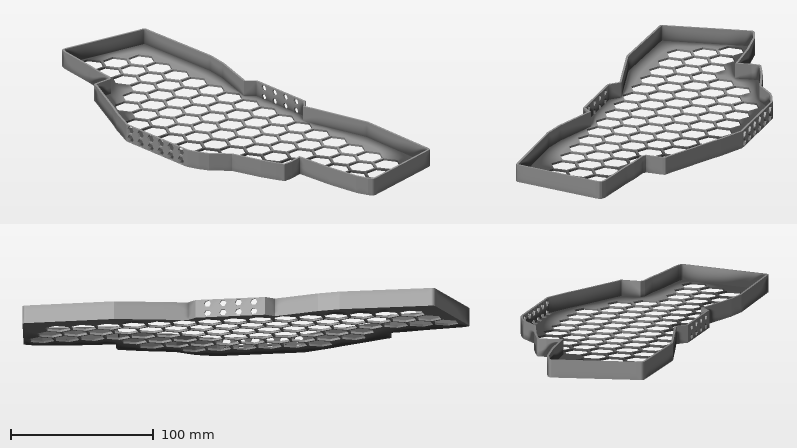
import cadquery as cq
import math

HEIGHT = 12.7
FLOOR = 1.5
WALL = 1.5

BACK_Y = 63.68
FRONT_Y = -BACK_Y
CENTRE_BACK_Y = 56.9

OUTLINE = [
    (-29.8, FRONT_Y, 0),
    (30.3, FRONT_Y, 0),
    (32.6, -63.4, 0),
    (40.6, -60.3, 0),
    (47.3, -56.7, 0),
    (58.7, -45.5, 0),
    (80.7, -38.3, 0),
    (91.2, -33.8, 0),
    (97.3, -30.9, 1.5),
    (97.2, -24.0, 0),
    (95.2, -14.4, 0),
    (123.7, -12.1, 0),
    (146.6, -8.4, 0),
    (155.2, -5.2, 0),
    (158.75, -2.7, 2.5),
    (148.0, 57.2, 0),
    (147.0, 62.6, 2.5),
    (81.5, BACK_Y, 0),
    (48.0, 54.9, 0),
    (31.4, 50.4, 0),
    (24.8, CENTRE_BACK_Y, 0),
    (-24.8, CENTRE_BACK_Y, 0),
    (-30.6, 50.8, 0),
    (-63.2, 61.0, 0),
    (-79.0, BACK_Y, 0),
    (-146.4, 62.6, 2.5),
    (-147.4, 56.8, 0),
    (-158.2, -1.4, 0),
    (-158.51, -4.6, 0),
    (-157.7, -5.9, 0),
    (-154.3, -7.4, 0),
    (-123.7, -11.8, 0),
    (-113.1, -13.9, 0),
    (-100.5, -15.4, 0),
    (-98.2, -17.0, 0),
    (-98.3, -29.3, 0),
    (-98.0, -31.3, 0),
    (-95.2, -32.2, 0),
    (-80.7, -39.3, 0),
    (-59.7, -49.5, 0),
    (-49.2, -55.1, 0),
]

FLOOR_HEX_RADIUS = 9.525
FLOOR_HEX_WEB = 1.5
FLOOR_HEX_TURN = 30
FLOOR_HEX_PITCH = FLOOR_HEX_RADIUS * math.sqrt(3) + FLOOR_HEX_WEB
FLOOR_ROW_PITCH = 15.875
FLOOR_BACK_ROW_Y = 40.4
FLOOR_ROW_COUNTS = [15, 16, 17, 10, 9, 6]

HOLE_ROW_PITCH = 6.7
FRONT_HOLE_RADIUS = 3.175
FRONT_HOLE_PITCH = 10.31
FRONT_HOLE_COUNT = 6
FRONT_HOLE_FIRST_X = -25.7
FRONT_HOLE_DEPTH = 3.9
BACK_HOLE_RADIUS = 2.4
BACK_HOLE_PITCH = 11.0
BACK_HOLE_COUNT = 4
BACK_HOLE_FIRST_X = -16.7
BACK_HOLE_DEPTH = 2.0


def unit(start, end):
    """Unit vector from start to end."""
    length = math.dist(start, end)
    return (end[0] - start[0]) / length, (end[1] - start[1]) / length


def rounded_outline(corners):
    """Closed outline through the corners, each rounded by its radius with a tangent arc."""
    path = None
    for index, (x, y, radius) in enumerate(corners):
        before = unit((x, y), corners[index - 1][:2])
        after = unit((x, y), corners[(index + 1) % len(corners)][:2])
        half_angle = math.acos(before[0] * after[0] + before[1] * after[1]) / 2
        trim = radius / math.tan(half_angle)
        arc_start = (x + before[0] * trim, y + before[1] * trim)
        if path is None:
            path = cq.Workplane("XY").moveTo(*arc_start)
        else:
            path = path.lineTo(*arc_start)
        if radius > 0:
            bisector = unit((0, 0), (before[0] + after[0], before[1] + after[1]))
            reach = radius / math.sin(half_angle) - radius
            arc_middle = (x + bisector[0] * reach, y + bisector[1] * reach)
            arc_end = (x + after[0] * trim, y + after[1] * trim)
            path = path.threePointArc(arc_middle, arc_end)
    return path.close()


def inset(corners, distance):
    """The corners moved inward so that every side shifts by the distance."""
    moved = []
    for index, (x, y, radius) in enumerate(corners):
        along_in = unit(corners[index - 1][:2], (x, y))
        along_out = unit((x, y), corners[(index + 1) % len(corners)][:2])
        turn_cosine = along_in[0] * along_out[0] + along_in[1] * along_out[1]
        reach = distance / (1 + turn_cosine)
        inner_x = x - reach * (along_in[1] + along_out[1])
        inner_y = y + reach * (along_in[0] + along_out[0])
        moved.append((inner_x, inner_y, max(radius - distance, 0)))
    return moved


def tray():
    """Open-topped tray with a thin floor and an even wall all around."""
    body = rounded_outline(OUTLINE).extrude(HEIGHT)
    inside = rounded_outline(inset(OUTLINE, WALL)).extrude(HEIGHT)
    return body.cut(inside.translate((0, 0, FLOOR)))


def floor_holes():
    """Rows of pointy-topped hexagons, each row centred on the YZ plane."""
    centres = []
    for row, count in enumerate(FLOOR_ROW_COUNTS):
        y = FLOOR_BACK_ROW_Y - row * FLOOR_ROW_PITCH
        for column in range(count):
            centres.append(((column - (count - 1) / 2) * FLOOR_HEX_PITCH, y))
    unturned = cq.Workplane("XY").polygon(6, 2 * FLOOR_HEX_RADIUS).extrude(FLOOR)
    hole = unturned.rotate((0, 0, 0), (0, 0, 1), FLOOR_HEX_TURN).val()
    return cq.Workplane("XY").pushPoints(centres).eachpoint(lambda place: hole.moved(place))


def wall_holes(first_x, pitch, count, radius, near_y, depth):
    """Two rows of hexagonal holes running in +Y from near_y over the given depth."""
    centres = []
    for column in range(count):
        for side in (-0.5, 0.5):
            centres.append((first_x + column * pitch, HEIGHT / 2 + side * HOLE_ROW_PITCH))
    return (
        cq.Workplane("XZ", origin=(0, near_y, 0))
        .pushPoints(centres)
        .polygon(6, 2 * radius)
        .extrude(-depth)
    )


front_holes = wall_holes(
    FRONT_HOLE_FIRST_X, FRONT_HOLE_PITCH, FRONT_HOLE_COUNT, FRONT_HOLE_RADIUS, FRONT_Y, FRONT_HOLE_DEPTH
)
back_holes = wall_holes(
    BACK_HOLE_FIRST_X,
    BACK_HOLE_PITCH,
    BACK_HOLE_COUNT,
    BACK_HOLE_RADIUS,
    CENTRE_BACK_Y - BACK_HOLE_DEPTH,
    BACK_HOLE_DEPTH,
)

result = tray().cut(floor_holes()).cut(front_holes).cut(back_holes)